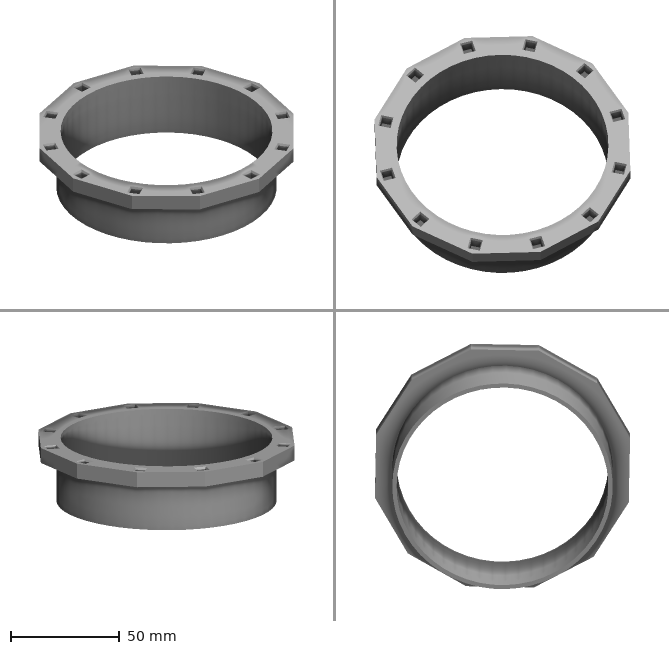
import cadquery as cq

SIDES = 12
FLANGE_ACROSS_CORNERS = 121.1
FLANGE_HEIGHT = 7.1

TOTAL_HEIGHT = 30.0
TUBE_DIAMETER = 101.6
BORE_DIAMETER = 97.6

POCKET_CENTER_RADIUS = 55.2
POCKET_WIDTH = 4.7
POCKET_DEPTH = 6.0

MOUTH_DEPTH = 1.0
MOUTH_FLARE = 0.55
MOUTH_WIDTH = POCKET_WIDTH + 2 * MOUTH_FLARE


def make_flange():
    """Polygonal plate with its top face at the full height."""
    return (
        cq.Workplane("XY")
        .workplane(offset=TOTAL_HEIGHT - FLANGE_HEIGHT)
        .polygon(SIDES, FLANGE_ACROSS_CORNERS)
        .extrude(FLANGE_HEIGHT)
    )


def make_pocket():
    """Cutter for the pocket on the +X axis: straight well plus flared mouth."""
    well = (
        cq.Workplane("XY")
        .workplane(offset=TOTAL_HEIGHT - POCKET_DEPTH)
        .center(POCKET_CENTER_RADIUS, 0)
        .rect(POCKET_WIDTH, POCKET_WIDTH)
        .extrude(POCKET_DEPTH)
    )
    mouth = (
        cq.Workplane("XY")
        .workplane(offset=TOTAL_HEIGHT - MOUTH_DEPTH)
        .center(POCKET_CENTER_RADIUS, 0)
        .rect(POCKET_WIDTH, POCKET_WIDTH)
        .workplane(offset=MOUTH_DEPTH)
        .rect(MOUTH_WIDTH, MOUTH_WIDTH)
        .loft(ruled=True)
    )
    return well.union(mouth)


tube = cq.Workplane("XY").circle(TUBE_DIAMETER / 2).extrude(TOTAL_HEIGHT)
bore = cq.Workplane("XY").circle(BORE_DIAMETER / 2).extrude(TOTAL_HEIGHT)
result = make_flange().union(tube).cut(bore)

pocket = make_pocket()
for index in range(SIDES):
    angle = index * 360 / SIDES
    result = result.cut(pocket.rotate((0, 0, 0), (0, 0, 1), angle))